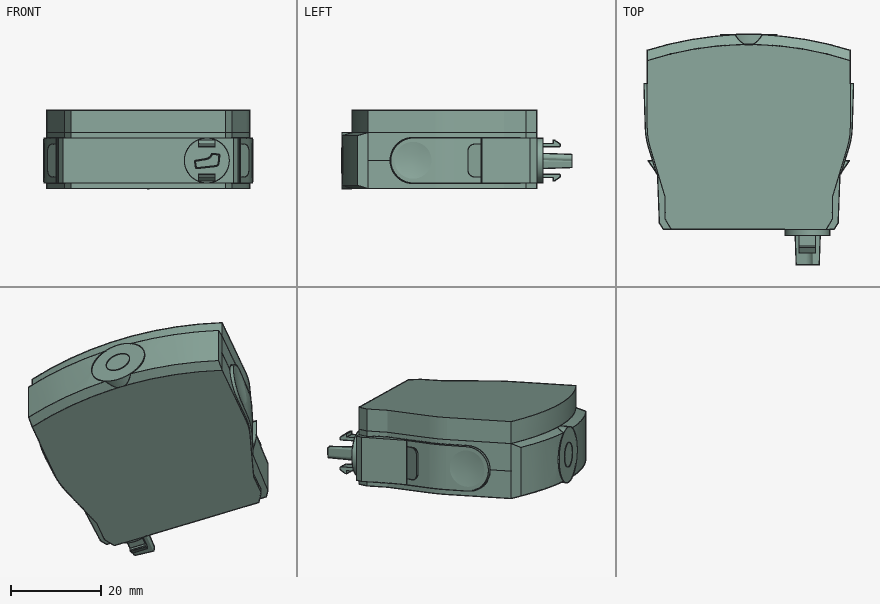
import cadquery as cq
import math


case_half_width = 22.5
case_height = 12.4
case_mid_z = case_height / 2
lid_height = 4.95
waist_start_y = 22.45
waist_arc_end = (21.8, 18.15)
neck_half_width = 18.55
neck_rear_y = 7.2
corner_y = 2.35
front_half_width = 17.1
rear_apex_y = 41.0
rear_corner_y = 37.4
rear_sagitta = rear_apex_y - rear_corner_y
rear_radius = (case_half_width**2 + rear_sagitta**2) / (2 * rear_sagitta)
rear_center_y = rear_apex_y - rear_radius
rear_half_angle = math.asin(case_half_width / rear_radius)

cap_thickness = 2.2
cap_bevel = 0.7
cap_outer_radius = rear_radius + cap_thickness
disc_diameter = 12.5
boss_diameter = 5.5
boss_height = 0.1
disc_face_y = rear_apex_y + cap_thickness

strap_height = 9.95
strap_end_y = 32.35
strap_round_y = strap_end_y - strap_height / 2
strap_depth = 0.75
strap_gap = 0.15
strap_gap_front_y = 3.75
strap_front_half_width = 18.9
strap_corner = (19.85, 1.5)
strap_bend = (20.25, 12.15)
strap_shoulder = (20.4, 12.3)
strap_arc_front = (22.3, 18.3)
strap_arc_middle = (22.75, 20.35)
strap_arc_rear = (22.95, 22.45)
strap_end_half_width = 23.25
dimple_diameter = 8.2
dimple_depth = 0.4
dimple_face_x = 23.1
grip_tip = (22.3, 15.25)
grip_height = 7.25
grip_corner_radius = 1.45

plug_x = 13.0
flange_diameter = strap_height
flange_thickness = 1.4
hook_width = 3.65
hook_inner = 3.0
hook_outer = 3.8
hook_barb = 4.5
hook_barb_y = 3.65
hook_crest_y = 4.0
hook_tip_y = 5.2
hook_tip_chamfer = 0.15
key_tip_y = 7.8
key_taper = 2.0
key_corner_radius = 0.3
key_inner_bend_radius = 1.55
key_outer_bend_radius = 0.9
key_inner_bend = (0.55, 0.55)
key_outer_bend = (2.65, -1.3)
key_outline = [(-2.5, -1.85), (-2.75, 0.0), key_inner_bend, (1.1, 1.65), (2.9, 1.4), key_outer_bend]


def both_sides(right_half):
    """Join a half with its mirror image across the symmetry plane."""
    return right_half.union(right_half.mirror("YZ"))


def case_block(bottom, height):
    """Slice of the case outline, with a waist on each side and a bowed rear."""
    rear_arc_middle = (
        rear_radius * math.sin(rear_half_angle / 2),
        rear_center_y + rear_radius * math.cos(rear_half_angle / 2),
    )
    right_half = (
        cq.Workplane("XY", origin=(0, 0, bottom))
        .lineTo(0, rear_apex_y)
        .threePointArc(rear_arc_middle, (case_half_width, rear_corner_y))
        .lineTo(case_half_width, waist_start_y)
        .tangentArcPoint(waist_arc_end, relative=False)
        .lineTo(neck_half_width, neck_rear_y)
        .lineTo(neck_half_width, corner_y)
        .lineTo(front_half_width, 0)
        .close()
        .extrude(height)
    )
    return both_sides(right_half)


def strap_core():
    """Block left inside the strap: the case outline shrunk by the strap depth."""
    outline = case_block(0, case_height).faces("<Z").wires().toPending()
    return outline.offset2D(-strap_depth).extrude(case_height, combine=False)


def strap_slab(clearance):
    """Slab across the full width, as tall as the strap, with a half-round rear end."""
    radius = strap_height / 2 + clearance
    return (
        cq.Workplane("YZ", origin=(0, 0, case_mid_z))
        .moveTo(0, -radius)
        .lineTo(strap_round_y, -radius)
        .threePointArc((strap_round_y + radius, 0), (strap_round_y, radius))
        .lineTo(0, radius)
        .close()
        .extrude(strap_end_half_width, both=True)
    )


def strap_pocket(core):
    """Recess for the strap, with a narrow gap around it along the case sides."""
    front = cq.Workplane("XY").box(
        2 * strap_end_half_width, 2 * strap_gap_front_y, 2 * case_height
    )
    gap = strap_slab(strap_gap).cut(front)
    return strap_slab(0).union(gap).cut(core)


def rear_cap():
    """Bevelled strip bent along the rear arc, with a round disc and a small boss on it."""
    axis_start = (rear_center_y, 0)
    axis_end = (rear_center_y, case_height)
    ring = (
        cq.Workplane("YZ")
        .moveTo(rear_center_y + rear_radius, 0)
        .lineTo(rear_center_y + cap_outer_radius, cap_bevel)
        .lineTo(rear_center_y + cap_outer_radius, case_height - cap_bevel)
        .lineTo(rear_center_y + rear_radius, case_height)
        .close()
        .revolve(360, axis_start, axis_end)
    )
    rear_window = cq.Workplane("XY").box(
        2 * case_half_width, cap_outer_radius, case_height, centered=(True, False, False)
    )
    face = cq.Workplane("XZ", origin=(0, disc_face_y, case_mid_z))
    inside = case_block(-case_height, 3 * case_height)
    disc = face.circle(disc_diameter / 2).extrude(2 * cap_thickness).cut(inside)
    boss = face.circle(boss_diameter / 2).extrude(-boss_height)
    return ring.intersect(rear_window).union(disc).union(boss)


def strap(core):
    """Strap across the front and along both sides, with a dimple and a grip on each side."""
    right_half = (
        cq.Workplane("XY")
        .lineTo(strap_front_half_width, 0)
        .lineTo(*strap_corner)
        .lineTo(*strap_bend)
        .lineTo(*strap_shoulder)
        .lineTo(*strap_arc_front)
        .threePointArc(strap_arc_middle, strap_arc_rear)
        .lineTo(strap_end_half_width, strap_end_y)
        .lineTo(0, strap_end_y)
        .close()
        .extrude(case_height)
        .intersect(strap_slab(0))
        .union(grip())
        .cut(dimple())
    )
    return both_sides(right_half.cut(core))


def grip():
    """Finger grip: a ramp with rounded rear corners."""
    ramp = (
        cq.Workplane("XY", origin=(0, 0, case_mid_z - grip_height / 2))
        .polyline([strap_bend, grip_tip, (strap_bend[0], grip_tip[1])])
        .close()
        .extrude(grip_height)
    )
    length = grip_tip[1] - strap_bend[1]
    rounding = (
        cq.Workplane("YZ", origin=(0, strap_bend[1] + length / 2, case_mid_z))
        .rect(length, grip_height)
        .extrude(strap_end_half_width)
        .edges("|X and >Y")
        .fillet(grip_corner_radius)
    )
    return ramp.intersect(rounding)


def dimple():
    """Ball that leaves a shallow round dimple in the right side of the strap."""
    radius = ((dimple_diameter / 2) ** 2 + dimple_depth**2) / (2 * dimple_depth)
    lean = math.atan2(strap_end_half_width - strap_arc_rear[0], strap_end_y - strap_arc_rear[1])
    reach = radius - dimple_depth
    center = (dimple_face_x + reach * math.cos(lean), strap_round_y - reach * math.sin(lean), case_mid_z)
    return cq.Workplane("XY").sphere(radius).translate(center)


def hook():
    """Upper snap hook of the plug, with its barb facing up."""
    return (
        cq.Workplane("YZ", origin=(plug_x, 0, case_mid_z))
        .moveTo(-flange_thickness, hook_inner)
        .lineTo(-flange_thickness, hook_outer)
        .lineTo(-hook_barb_y, hook_outer)
        .lineTo(-hook_barb_y, hook_barb)
        .lineTo(-hook_crest_y, hook_barb)
        .lineTo(-hook_tip_y, hook_outer - hook_tip_chamfer)
        .lineTo(-hook_tip_y, hook_inner + hook_tip_chamfer)
        .lineTo(-hook_tip_y + hook_tip_chamfer, hook_inner)
        .close()
        .extrude(hook_width / 2, both=True)
    )


def plug():
    """Round flange with a tapered, kinked key and two snap hooks."""
    axis_point = (plug_x, 0, case_mid_z)
    flange = (
        cq.Workplane("XZ", origin=axis_point)
        .circle(flange_diameter / 2)
        .extrude(flange_thickness)
    )
    key_section = (
        cq.Sketch()
        .polygon(key_outline + key_outline[:1])
        .vertices(cq.selectors.NearestToPointSelector((*key_inner_bend, 0)))
        .fillet(key_inner_bend_radius)
        .reset()
        .vertices(cq.selectors.NearestToPointSelector((*key_outer_bend, 0)))
        .fillet(key_outer_bend_radius)
        .reset()
    )
    for corner in key_outline:
        if corner not in (key_inner_bend, key_outer_bend):
            nearest = cq.selectors.NearestToPointSelector((*corner, 0))
            key_section = key_section.vertices(nearest).fillet(key_corner_radius).reset()
    key = (
        cq.Workplane("XZ", origin=(plug_x, -flange_thickness, case_mid_z))
        .placeSketch(key_section)
        .extrude(key_tip_y - flange_thickness, taper=key_taper)
    )
    upper_hook = hook()
    lower_hook = upper_hook.mirror("XY", axis_point)
    return flange.union(key).union(upper_hook).union(lower_hook)


core = strap_core()
pocket = strap_pocket(core)
lower_shell = case_block(0, case_mid_z).cut(pocket)
upper_shell = case_block(case_mid_z, case_mid_z).cut(pocket)
lid = case_block(case_height, lid_height)
cap = rear_cap()
side_strap = strap(core)
connector = plug()

result = cq.Compound.makeCompound([
    lower_shell.val(),
    upper_shell.val(),
    lid.val(),
    cap.val(),
    side_strap.val(),
    connector.val(),
])